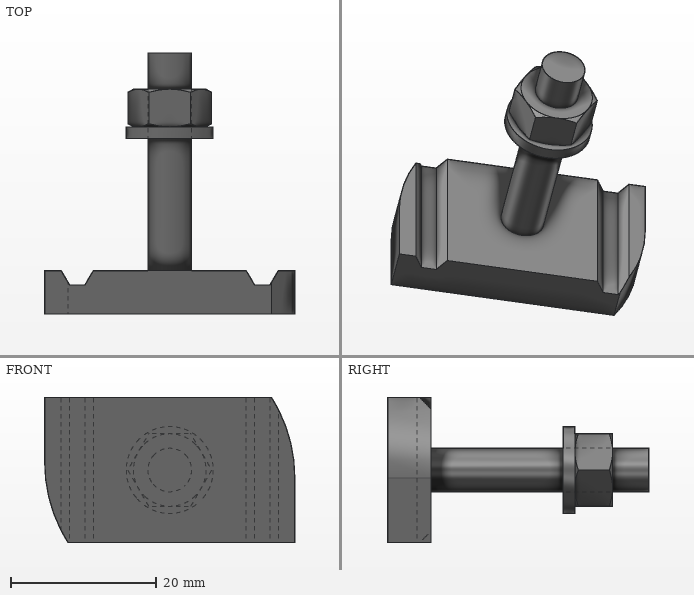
import cadquery as cq
import math

TOTAL_LENGTH = 36.0
HEAD_LENGTH = 34.5
HEAD_HEIGHT = 20.0
HEAD_THICKNESS = 6.0
SHANK_DIAMETER = 6.0

ARC_RADIUS = 20.6
ARC_START = 1.08

GROOVE_CENTER = 12.75
GROOVE_WIDTH = 4.43
GROOVE_FLOOR_WIDTH = 2.1
GROOVE_DEPTH = 1.98

WASHER_DIAMETER = 12.0
WASHER_THICKNESS = 1.62
WASHER_START = 24.2

NUT_ACROSS_FLATS = 10.0
NUT_HEIGHT = 5.2
NUT_CHAMFER_ANGLE = 30.0
NUT_START = WASHER_START + WASHER_THICKNESS


def plane_at(y):
    """Workplane normal to the bolt axis, with its normal along +Y and local Y along +Z."""
    return cq.Workplane(cq.Plane(origin=(0, y, 0), xDir=(-1, 0, 0), normal=(0, 1, 0)))


def make_head():
    """Rectangle with two opposite corners rounded by arcs tangent to the short sides."""
    half_length = HEAD_LENGTH / 2
    half_height = HEAD_HEIGHT / 2
    arc_angle = math.asin((half_height + ARC_START) / ARC_RADIUS)

    def arc_point(angle):
        """Point on the arc that starts on the side at positive local X and runs down."""
        x = half_length - ARC_RADIUS * (1 - math.cos(angle))
        z = ARC_START - ARC_RADIUS * math.sin(angle)
        return x, z

    mid_x, mid_z = arc_point(arc_angle / 2)
    end_x, end_z = arc_point(arc_angle)
    return (
        plane_at(0)
        .moveTo(half_length, half_height)
        .lineTo(half_length, ARC_START)
        .threePointArc((mid_x, mid_z), (end_x, end_z))
        .lineTo(-half_length, -half_height)
        .lineTo(-half_length, -ARC_START)
        .threePointArc((-mid_x, -mid_z), (-end_x, -end_z))
        .close()
        .extrude(HEAD_THICKNESS)
    )


def make_groove(center_x):
    floor_y = HEAD_THICKNESS - GROOVE_DEPTH
    return (
        cq.Workplane("XY")
        .polyline([
            (center_x - GROOVE_WIDTH / 2, HEAD_THICKNESS),
            (center_x - GROOVE_FLOOR_WIDTH / 2, floor_y),
            (center_x + GROOVE_FLOOR_WIDTH / 2, floor_y),
            (center_x + GROOVE_WIDTH / 2, HEAD_THICKNESS),
        ])
        .close()
        .extrude(HEAD_HEIGHT / 2, both=True)
    )


def make_bolt():
    head = make_head()
    for side in (-1, 1):
        head = head.cut(make_groove(side * GROOVE_CENTER))
    shank_length = TOTAL_LENGTH - HEAD_THICKNESS
    shank = plane_at(HEAD_THICKNESS).circle(SHANK_DIAMETER / 2).extrude(shank_length)
    return head.union(shank)


def make_washer():
    return (
        plane_at(WASHER_START)
        .circle(WASHER_DIAMETER / 2)
        .circle(SHANK_DIAMETER / 2)
        .extrude(WASHER_THICKNESS)
    )


def make_nut():
    """Hexagon with corners on the X axis and conical chamfers at both ends."""
    across_corners = NUT_ACROSS_FLATS / math.cos(math.pi / 6)
    hexagon = (
        plane_at(NUT_START)
        .polygon(6, across_corners)
        .circle(SHANK_DIAMETER / 2)
        .extrude(NUT_HEIGHT)
    )
    chamfer_width = (across_corners - NUT_ACROSS_FLATS) / 2
    chamfer_height = chamfer_width * math.tan(math.radians(NUT_CHAMFER_ANGLE))
    envelope = (
        plane_at(NUT_START)
        .circle(across_corners / 2)
        .extrude(NUT_HEIGHT)
        .faces("<Y or >Y")
        .edges()
        .chamfer(chamfer_height, chamfer_width)
    )
    return hexagon.intersect(envelope)


bolt = make_bolt()
washer = make_washer()
nut = make_nut()

result = cq.Compound.makeCompound([bolt.val(), washer.val(), nut.val()])